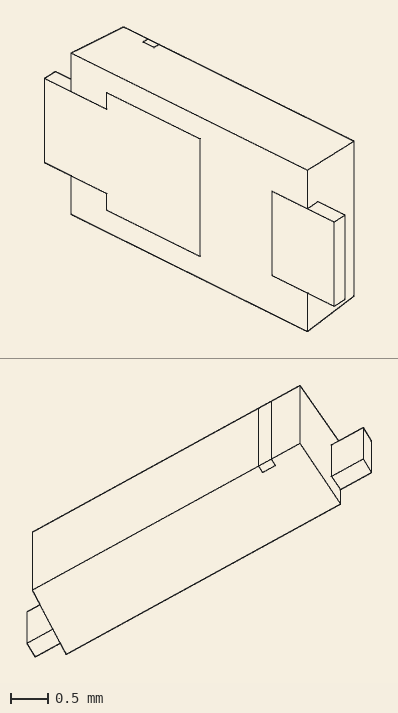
import cadquery as cq
import math

housing_length = 4.245
housing_height = 2.6
housing_depth = 1.0
draft_angle = 3.0

overall_length = 5.2
terminal_thickness = 0.225
tab_length = 1.12
tab_height = 1.355
pad_length = 1.675
pad_height = 1.895

band_width = 0.2
band_depth = 0.105
band_center_x = -1.53

mounting_face_y = -housing_depth / 2
back_face_y = housing_depth / 2


def make_envelope():
    """Tapered block that bounds the moulded housing."""
    inset = housing_depth * math.tan(math.radians(draft_angle))
    return (
        cq.Workplane("XZ", origin=(0, mounting_face_y, 0))
        .rect(housing_length, housing_height)
        .workplane(offset=-housing_depth)
        .rect(housing_length - 2 * inset, housing_height - 2 * inset)
        .loft(ruled=True)
    )


def make_plate(start_x, length, height):
    """Flat plate lying in the mounting face, centred in Z."""
    return (
        cq.Workplane("XY")
        .box(length, terminal_thickness, height, centered=(False, False, True))
        .translate((start_x, mounting_face_y, 0))
    )


def make_pad_terminal():
    """Left terminal: outer tab that widens into a large pad."""
    tab_start = -overall_length / 2
    tab = make_plate(tab_start, tab_length, tab_height)
    pad = make_plate(tab_start + tab_length, pad_length, pad_height)
    return tab.union(pad)


def make_tab_terminal():
    """Right terminal: plain tab."""
    return make_plate(overall_length / 2 - tab_length, tab_length, tab_height)


def make_band(envelope):
    """Polarity band, trimmed to the tapered faces of the housing."""
    bar = (
        cq.Workplane("XY")
        .box(band_width, band_depth, housing_height)
        .translate((band_center_x, back_face_y - band_depth / 2, 0))
    )
    return bar.intersect(envelope)


envelope = make_envelope()
pad_terminal = make_pad_terminal()
tab_terminal = make_tab_terminal()
polarity_band = make_band(envelope)

housing = envelope.cut(pad_terminal).cut(tab_terminal).cut(polarity_band)

result = cq.Compound.makeCompound(
    [housing.val(), pad_terminal.val(), tab_terminal.val(), polarity_band.val()]
)